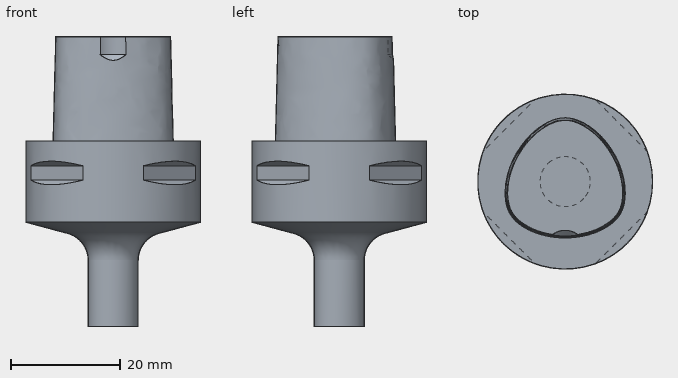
import cadquery as cq
import math

total_height = 53.0
shank_top_z = 12.15
flange_bottom_z = 19.1
flange_top_z = 33.95

shank_radius = 9.15 / 2
flange_radius = 32.0 / 2
cone_slope = math.radians(15)

polygon_base_diameter = 22.0
polygon_taper = 1 / 20
lobe_eccentricity = 0.7
outline_points = 48

groove_count = 4
groove_first_angle = 45
groove_z = 28.1
groove_floor_height = 2.6
groove_floor_distance = 14.5
groove_wall_slope = math.radians(30)

notch_radius = 3.75
notch_back_distance = 8.9
notch_rim_z = 49.7


def make_shank_and_flange():
    """Revolve the shank, its blend into the cone, and the flange."""
    sin_slope = math.sin(cone_slope)
    cos_slope = math.cos(cone_slope)
    cone_z_at_shank = flange_bottom_z - (flange_radius - shank_radius) * math.tan(cone_slope)
    blend_radius = (cone_z_at_shank - shank_top_z) * cos_slope / (1 - sin_slope)
    blend_center_r = shank_radius + blend_radius

    def blend_point(tilt):
        r = blend_center_r - blend_radius * math.sin(tilt)
        z = shank_top_z + blend_radius * math.cos(tilt)
        return r, z

    blend_middle_tilt = (math.pi / 2 + cone_slope) / 2
    return (
        cq.Workplane("XZ")
        .lineTo(shank_radius, 0)
        .lineTo(shank_radius, shank_top_z)
        .threePointArc(blend_point(blend_middle_tilt), blend_point(cone_slope))
        .lineTo(flange_radius, flange_bottom_z)
        .lineTo(flange_radius, flange_top_z)
        .lineTo(0, flange_top_z)
        .close()
        .revolve(360, (0, 0), (0, 1))
    )


def polygon_outline(diameter):
    """Points of a constant-width trilobe with one lobe pointing to +Y."""
    points = []
    for i in range(outline_points):
        angle = 2 * math.pi * i / outline_points
        e = lobe_eccentricity
        along = diameter / 2 * math.cos(angle) + 2 * e * math.cos(2 * angle) - e * math.cos(4 * angle)
        across = diameter / 2 * math.sin(angle) - 2 * e * math.sin(2 * angle) - e * math.sin(4 * angle)
        points.append((-across, along))
    return points


def make_polygon():
    height = total_height - flange_top_z
    top_diameter = polygon_base_diameter - height * polygon_taper
    return (
        cq.Workplane("XY", origin=(0, 0, flange_top_z))
        .spline(polygon_outline(polygon_base_diameter), periodic=True)
        .close()
        .workplane(offset=height)
        .spline(polygon_outline(top_diameter), periodic=True)
        .close()
        .loft(ruled=True, combine=True)
    )


def make_groove():
    """Straight groove along Y, with a flat floor facing +X and sloping walls."""
    depth = flange_radius - groove_floor_distance
    floor_half = groove_floor_height / 2
    mouth_half = floor_half + depth * math.tan(groove_wall_slope)
    return (
        cq.Workplane("XZ", origin=(0, 0, groove_z))
        .moveTo(groove_floor_distance, -floor_half)
        .lineTo(flange_radius, -mouth_half)
        .lineTo(flange_radius, mouth_half)
        .lineTo(groove_floor_distance, floor_half)
        .close()
        .extrude(flange_radius, both=True)
    )


def make_notch():
    """Upright round cutter with a 45 degree point, centred outside the polygon."""
    return (
        cq.Workplane("XZ")
        .moveTo(0, notch_rim_z - notch_radius)
        .lineTo(notch_radius, notch_rim_z)
        .lineTo(notch_radius, total_height)
        .lineTo(0, total_height)
        .close()
        .revolve(360, (0, 0), (0, 1))
        .translate((0, -notch_back_distance - notch_radius, 0))
    )


result = make_shank_and_flange().union(make_polygon()).cut(make_notch())
groove = make_groove()
for index in range(groove_count):
    angle = groove_first_angle + index * 360 / groove_count
    result = result.cut(groove.rotate((0, 0, 0), (0, 0, 1), angle))